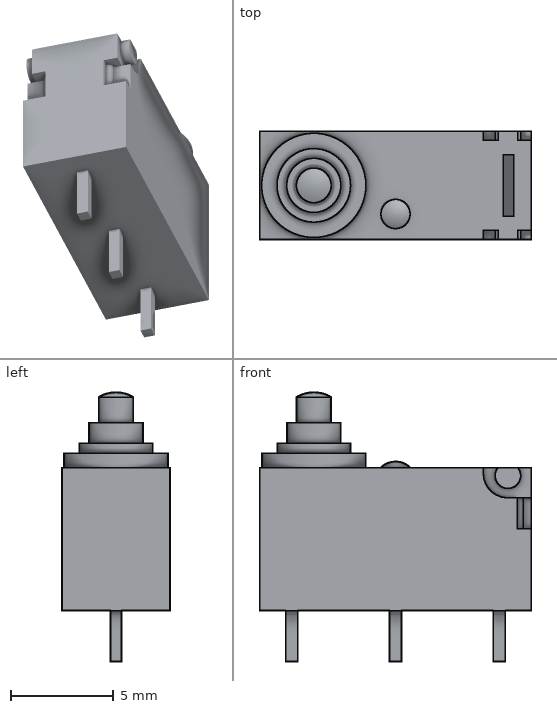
import cadquery as cq
import math

body_length = 13.3
body_width = 5.3
body_height = 7.0
body_right = body_length / 2
body_front = -body_width / 2

plunger_x = -body_length / 2 + body_width / 2
plunger_steps = [
    (2.55, 0.7),
    (1.8, 1.2),
    (1.325, 2.2),
    (0.85, 3.45),
]
plunger_dome_height = 0.24

bump_x = 0.0
bump_y = -1.4
bump_height = 0.3
bump_radius = 0.715

pin_pitch = 5.08
pin_count = 3
pin_thickness_x = 0.6
pin_thickness_y = 0.55
pin_length = 2.5

recess_length = 2.35
recess_height = 1.48
recess_depth = 0.45
recess_radius = 1.2
pivot_radius = 0.625
pivot_end_distance = 1.15
pivot_top_distance = 0.4
pivot_x = body_right - pivot_end_distance
pivot_z = body_height - pivot_top_distance

notch_length = 0.7
notch_bottom_depth = 3.0
notch_bottom = body_height - notch_bottom_depth
notch_height = body_height - recess_height - notch_bottom
bead_radius = 0.3

slot_length_x = 0.5
slot_length_y = 3.0
slot_depth = 1.5
slot_end_distance = 1.12
slot_x = body_right - slot_end_distance

notch_depth = (body_width - slot_length_y) / 2


def dome(x, y, base_z, radius, height):
    """Spherical cap standing on a circle of the given radius."""
    sphere_radius = (radius**2 + height**2) / (2 * height)
    half_angle = math.asin(radius / sphere_radius) / 2
    mid_radius = sphere_radius * math.sin(half_angle)
    mid_height = height - sphere_radius * (1 - math.cos(half_angle))
    return (
        cq.Workplane("XZ")
        .moveTo(0, 0)
        .lineTo(radius, 0)
        .threePointArc((mid_radius, mid_height), (0, height))
        .close()
        .revolve(360, (0, 0, 0), (0, 1, 0))
        .translate((x, y, base_z))
    )


def housing():
    return cq.Workplane("XY").box(body_length, body_width, body_height, centered=(True, True, False))


def plunger():
    stack = cq.Workplane("XY")
    for radius, top in plunger_steps:
        step = cq.Workplane("XY", origin=(plunger_x, 0, body_height)).circle(radius).extrude(top)
        stack = stack.union(step)
    tip_radius, tip_height = plunger_steps[-1]
    return stack.union(dome(plunger_x, 0, body_height + tip_height, tip_radius, plunger_dome_height))


def pins():
    first_pin_x = -pin_pitch * (pin_count - 1) / 2
    centres = [(first_pin_x + i * pin_pitch, 0) for i in range(pin_count)]
    return cq.Workplane("XY").pushPoints(centres).rect(pin_thickness_x, pin_thickness_y).extrude(-pin_length)


def lever_recess():
    """Corner recess in the front side, leaving the pivot stub standing."""
    left = body_right - recess_length
    bottom = body_height - recess_height
    arc_offset = recess_radius * (1 - math.sqrt(0.5))
    recess = (
        cq.Workplane("XZ", origin=(0, body_front, 0))
        .moveTo(left, body_height)
        .lineTo(left, bottom + recess_radius)
        .threePointArc((left + arc_offset, bottom + arc_offset), (left + recess_radius, bottom))
        .lineTo(body_right, bottom)
        .lineTo(body_right, body_height)
        .close()
        .extrude(-recess_depth)
    )
    pivot = (
        cq.Workplane("XZ", origin=(pivot_x, body_front, pivot_z))
        .circle(pivot_radius)
        .extrude(-recess_depth)
    )
    return recess.cut(pivot)


def notch():
    """Notch in the right end of the front side, leaving the corner bead standing."""
    left = body_right - notch_length
    block = cq.Workplane("XY", origin=(left, body_front, notch_bottom)).box(
        notch_length, notch_depth, notch_height, centered=False
    )
    bead = (
        cq.Workplane("XY", origin=(left, body_front + notch_depth, notch_bottom))
        .circle(bead_radius)
        .extrude(notch_height)
    )
    return block.cut(bead)


def top_slot():
    return (
        cq.Workplane("XY", origin=(slot_x, 0, body_height))
        .rect(slot_length_x, slot_length_y)
        .extrude(-slot_depth)
    )


result = housing()
for side_cut in (lever_recess(), notch()):
    result = result.cut(side_cut).cut(side_cut.mirror("XZ"))
result = result.cut(top_slot())
result = result.union(plunger())
result = result.union(dome(bump_x, bump_y, body_height, bump_radius, bump_height))
result = result.union(pins())